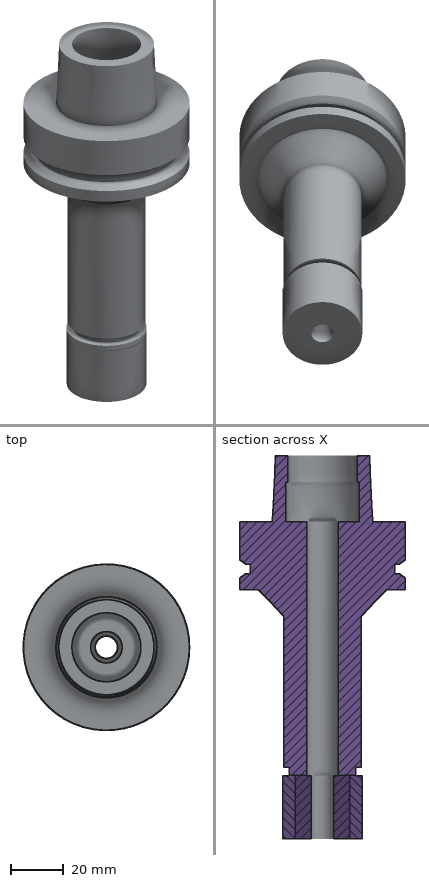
import cadquery as cq

total_height = 145.0

taper_length = 25.0
taper_tip_radius = 18.0
taper_base_radius = 19.1
flange_radius = 31.5
flange_thickness = 25.8
groove_radius = 27.4
groove_mouth_width = 6.8
groove_floor_width = 3.3
groove_top_drop = 14.5
groove_chamfer_radius = 29.0
cone_height = 10.0
cone_top_radius = 24.4
shank_radius = 14.8
shank_bottom = 27.0
neck_radius = 12.6

socket_radius = 13.0
socket_lip_depth = 10.2
undercut_radius = 13.9
socket_depth = 25.0
through_radius = 6.0

nut_radius = 15.1
nut_collar_radius = 15.2
nut_height = 24.0
nut_collar_height = 2.0
nut_step_height = 0.3
collet_radius = 10.2
collet_bore_radius = 4.2

flange_top = total_height - taper_length
flange_bottom = flange_top - flange_thickness
cone_bottom = flange_bottom - cone_height


def cylinder(radius, bottom, top):
    return cq.Workplane("XY").workplane(offset=bottom).circle(radius).extrude(top - bottom)


def revolve_profile(points):
    """Turn a closed (radius, height) outline around the Z axis."""
    return cq.Workplane("XZ").polyline(points).close().revolve(360, (0, 0, 0), (0, 1, 0))


def make_holder():
    groove_top = flange_top - groove_top_drop
    groove_bottom = groove_top - groove_mouth_width
    side_height = (groove_mouth_width - groove_floor_width) / 2
    body = revolve_profile([
        (0, total_height),
        (taper_tip_radius, total_height),
        (taper_base_radius, flange_top),
        (flange_radius, flange_top),
        (flange_radius, groove_top),
        (groove_chamfer_radius, groove_top - side_height),
        (groove_radius, groove_top - side_height),
        (groove_radius, groove_bottom + side_height),
        (groove_chamfer_radius, groove_bottom + side_height),
        (flange_radius, groove_bottom),
        (flange_radius, flange_bottom),
        (cone_top_radius, flange_bottom),
        (shank_radius, cone_bottom),
        (shank_radius, shank_bottom),
        (neck_radius, shank_bottom),
        (neck_radius, nut_height),
        (0, nut_height),
    ])
    socket_floor = total_height - socket_depth
    lip_bottom = total_height - socket_lip_depth
    socket = cylinder(socket_radius, socket_floor, total_height)
    undercut = cylinder(undercut_radius, socket_floor, lip_bottom)
    through_bore = cylinder(through_radius, nut_height, total_height)
    return body.cut(socket).cut(undercut).cut(through_bore)


def make_nut():
    collar_bottom = nut_height - nut_collar_height
    return revolve_profile([
        (collet_radius, 0),
        (nut_radius, 0),
        (nut_radius, collar_bottom - nut_step_height),
        (nut_collar_radius, collar_bottom),
        (nut_collar_radius, nut_height),
        (collet_radius, nut_height),
    ])


def make_collet():
    return cylinder(collet_radius, 0, nut_height).cut(
        cylinder(collet_bore_radius, 0, nut_height)
    )


holder = make_holder()
nut = make_nut()
collet = make_collet()

result = cq.Compound.makeCompound([holder.val(), nut.val(), collet.val()])